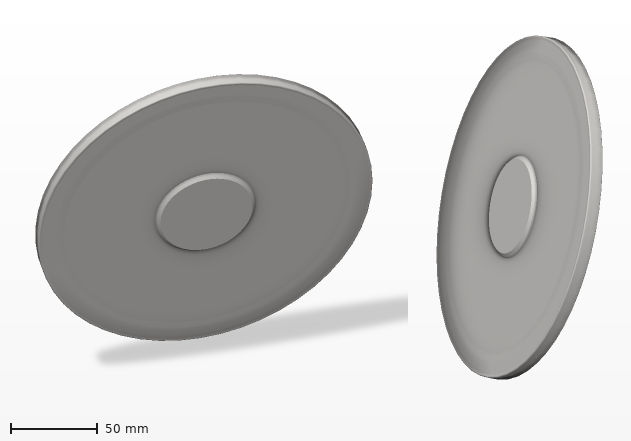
import cadquery as cq

outer_radius = 100.0
lip_crest_radius = 198.5 / 2
lip_inner_radius = 98.0
rim_half_width = 4.0
lip_height = 0.2
edge_round = outer_radius - lip_crest_radius

ramp_outer_radius = 90.2
ramp_inner_radius = 85.5
web_depth = 0.2

hub_half_width = 6.0
hub_base_radius = 30.0
hub_top_radius = 27.5

rim_face = rim_half_width - lip_height
web_face = rim_face - web_depth


def make_half_disc(side):
    """One half of the wheel, from the mid-plane X = 0 outward; side is -1 or +1."""
    outline = (
        cq.Workplane("XY")
        .moveTo(0, 0)
        .lineTo(hub_half_width, 0)
        .lineTo(hub_half_width, hub_top_radius)
        .lineTo(web_face, hub_base_radius)
        .lineTo(web_face, ramp_inner_radius)
        .lineTo(rim_face, ramp_outer_radius)
        .lineTo(rim_face, lip_inner_radius)
        .lineTo(rim_half_width, lip_crest_radius)
        .radiusArc((rim_half_width - edge_round, outer_radius), -edge_round)
        .lineTo(0, outer_radius)
        .close()
    )
    half = outline.revolve(360, (0, 0, 0), (1, 0, 0))
    if side < 0:
        half = half.mirror("YZ")
    return half


half_discs = [make_half_disc(side) for side in (-1, 1)]

result = cq.Compound.makeCompound([half.val() for half in half_discs])